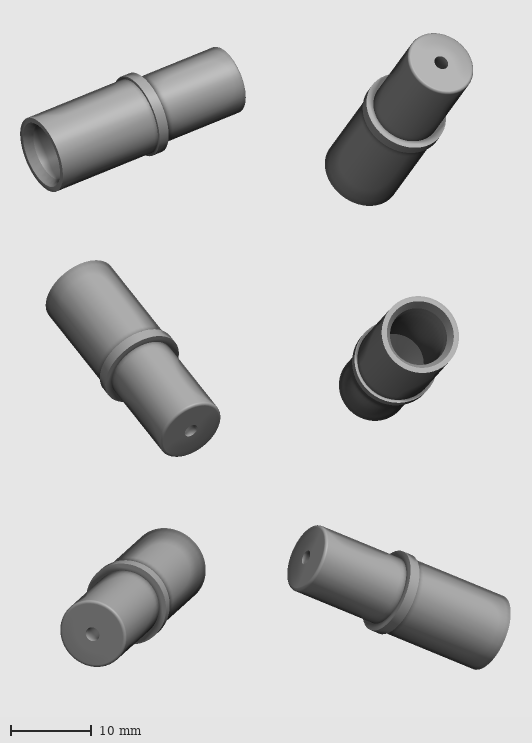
import cadquery as cq
import math

total_length = 27.4
barrel_length = 13.98
flange_thickness = 1.35
neck_length = 0.75
flange_rear = barrel_length + flange_thickness
joint_y = flange_rear + neck_length

barrel_diameter = 9.8
flange_diameter = 10.55
tip_diameter = 8.72
tip_edge_radius = 0.35

mouth_diameter = 8.5
bore_diameter = 7.24
through_diameter = 1.8
mouth_half_angle = 30.0
funnel_half_angle = 59.0


def taper_length(large_diameter, small_diameter, half_angle):
    """Axial length of a cone between two diameters."""
    radial_change = (large_diameter - small_diameter) / 2
    return radial_change / math.tan(math.radians(half_angle))


def revolve_profile(points):
    """Revolve a closed (radius, y) outline about the Y axis."""
    return cq.Workplane("XY").polyline(points).close().revolve(360, (0, 0, 0), (0, 1, 0))


def make_socket():
    """Front barrel with flange and neck, hollowed by a tapered mouth, a bore and a funnel."""
    mouth_depth = taper_length(mouth_diameter, bore_diameter, mouth_half_angle)
    funnel_start = joint_y - taper_length(bore_diameter, through_diameter, funnel_half_angle)
    return revolve_profile([
        (mouth_diameter / 2, 0),
        (barrel_diameter / 2, 0),
        (barrel_diameter / 2, barrel_length),
        (flange_diameter / 2, barrel_length),
        (flange_diameter / 2, flange_rear),
        (tip_diameter / 2, flange_rear),
        (tip_diameter / 2, joint_y),
        (through_diameter / 2, joint_y),
        (bore_diameter / 2, funnel_start),
        (bore_diameter / 2, mouth_depth),
    ])


def make_tip():
    """Rear cylinder with a rounded end edge and a narrow hole right through."""
    tip = revolve_profile([
        (through_diameter / 2, joint_y),
        (tip_diameter / 2, joint_y),
        (tip_diameter / 2, total_length),
        (through_diameter / 2, total_length),
    ])
    outer_end_edge = cq.selectors.RadiusNthSelector(-1)
    return tip.faces(">Y").edges(outer_end_edge).fillet(tip_edge_radius)


socket = make_socket()
tip = make_tip()

result = cq.Compound.makeCompound([socket.val(), tip.val()])